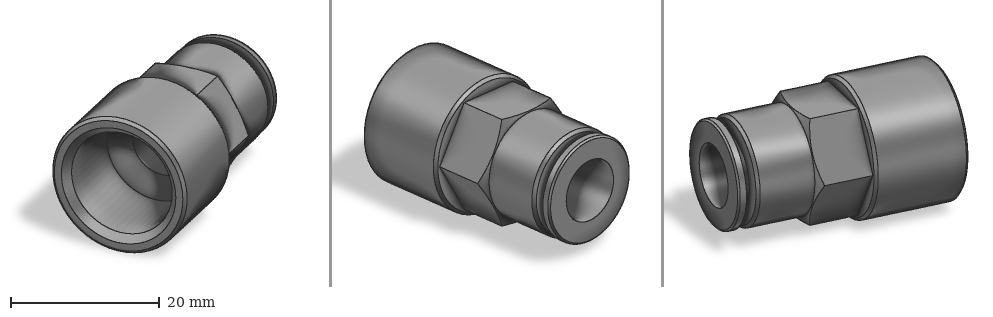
import cadquery as cq
import math

overall_length = 33.3

body_diameter = 20.0
body_end = 14.0
edge_chamfer = 0.43

hex_across_flats = 16.0
hex_end = 21.98
hex_chamfer_angle = 30.0

sleeve_diameter = 15.7
sleeve_end = 30.55
sleeve_cone_height = 0.15

neck_diameter = 11.4
flange_diameter = 15.5
flange_thickness = 1.2
flange_chamfer = 0.25
flange_cone_height = 0.2
flange_cone_diameter = 11.8

socket_diameter = 15.0
socket_depth = 12.0
socket_mouth_diameter = 17.05
passage_diameter = 9.0
drill_point_angle = 118.0


def disc(diameter, start, end):
    """Cylinder along Y between two positions."""
    plane = cq.Plane(origin=(0, start, 0), xDir=(1, 0, 0), normal=(0, 1, 0))
    return cq.Workplane(plane).circle(diameter / 2).extrude(end - start)


def revolve_about_y(points):
    """Solid of revolution from (radius, Y) points."""
    return cq.Workplane("XY").polyline(points).close().revolve(360, (0, 0, 0), (0, 1, 0))


def make_hex():
    """Hexagon whose rear corners are cut by a cone starting at the sleeve."""
    corner_diameter = hex_across_flats / math.cos(math.radians(30))
    corner_radius = corner_diameter / 2
    sleeve_radius = sleeve_diameter / 2
    corner_drop = (corner_radius - sleeve_radius) * math.tan(math.radians(hex_chamfer_angle))
    plane = cq.Plane(origin=(0, body_end, 0), xDir=(1, 0, 0), normal=(0, 1, 0))
    prism = cq.Workplane(plane).polygon(6, corner_diameter).extrude(hex_end - body_end)
    envelope = revolve_about_y([
        (0, body_end),
        (corner_radius, body_end),
        (corner_radius, hex_end - corner_drop),
        (sleeve_radius, hex_end),
        (0, hex_end),
    ])
    return prism.intersect(envelope)


def make_passage():
    """Socket with a 45 degree mouth and a drill-point floor leading to the through bore."""
    socket_radius = socket_diameter / 2
    mouth_radius = socket_mouth_diameter / 2
    passage_radius = passage_diameter / 2
    mouth_depth = mouth_radius - socket_radius
    floor_depth = (socket_radius - passage_radius) / math.tan(math.radians(drill_point_angle / 2))
    return revolve_about_y([
        (0, 0),
        (mouth_radius, 0),
        (socket_radius, mouth_depth),
        (socket_radius, socket_depth),
        (passage_radius, socket_depth + floor_depth),
        (passage_radius, overall_length),
        (0, overall_length),
    ])


body = disc(body_diameter, 0, body_end).edges().chamfer(edge_chamfer)
sleeve = disc(sleeve_diameter, body_end, sleeve_end).edges(">Y").chamfer(edge_chamfer)
neck = disc(neck_diameter, body_end, overall_length)
flange = disc(flange_diameter, overall_length - flange_thickness, overall_length)
flange = flange.edges(">Y").chamfer(flange_chamfer)

sleeve_face_radius = sleeve_diameter / 2 - edge_chamfer
sleeve_cone = revolve_about_y([
    (0, sleeve_end),
    (sleeve_face_radius, sleeve_end),
    (neck_diameter / 2, sleeve_end + sleeve_cone_height),
    (0, sleeve_end + sleeve_cone_height),
])
flange_start = overall_length - flange_thickness
flange_cone = revolve_about_y([
    (0, flange_start - flange_cone_height),
    (neck_diameter / 2, flange_start - flange_cone_height),
    (flange_cone_diameter / 2, flange_start),
    (0, flange_start),
])

outside = body.union(make_hex()).union(sleeve).union(neck).union(flange)
result = outside.union(sleeve_cone).union(flange_cone).cut(make_passage())